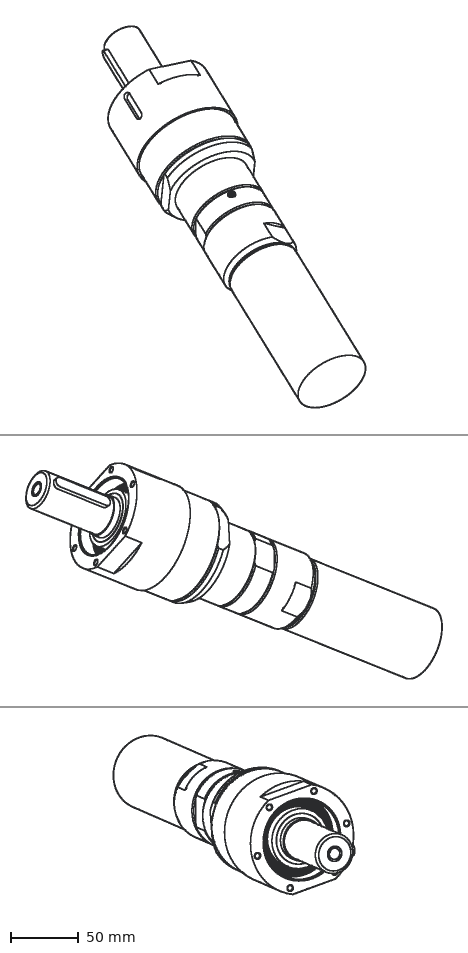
import cadquery as cq

LENGTH = 353.2

SHAFT_R = 30.0 / 2
SHAFT_END = 60.0
TIP_CHAMFER_LENGTH = 1.5
TIP_CHAMFER_DEPTH = 2.0
COLLAR_R = 16.0
CENTRE_HOLE_R = 8.5 / 2
CENTRE_HOLE_DEPTH = 17.5
CENTRE_SINK_R = 11.3 / 2
CENTRE_SINK_DEPTH = 0.5

KEY_START = 4.5
KEY_LENGTH = 50.0
KEY_WIDTH = 8.0
KEY_BOTTOM = SHAFT_R / 2
KEY_TOP = 18.0

BODY_R = 83.0 / 2
BODY_START = 61.8
BODY_END = 111.0
BODY_FLAT_DISTANCE = 37.5
BODY_FLAT_ANGLE = 75.0
BODY_FLAT_LENGTH = 15.2
SCREW_SINK_R = 5.0 / 2
SCREW_SINK_DEPTH = 0.5
SCREW_HOLE_R = 4.0 / 2
SCREW_HOLE_DEPTH = 10.5
SCREW_CIRCLE_R = 37.0
SCREW_COUNT = 6
SCREW_FIRST_ANGLE = 45.0
SLOT_START = BODY_START + 4.5
SLOT_LENGTH = 25.5
SLOT_WIDTH = 5.5
SLOT_DEPTH = 3.5
SLOT_ANGLE = 135.0

RECESS_MOUTH_R = 62.0 / 2
RECESS_MOUTH_DEPTH = 1.0
RECESS_BORE_R = 60.0 / 2
RECESS_FLOOR = BODY_START + 12.5
RECESS_GROOVES = ((23.5, 24.7), (25.8, 27.0), (28.0, 29.0))
RECESS_GROOVE_DEPTH = 1.0
HUB_R = 22.5
HUB_FACE = BODY_START + 3.5
HUB_STEP_R = 38.0 / 2
HUB_STEP = 0.5

REAR_BODY_R = 40.0
NUT_JOINT = 140.0
NUT_CONE_START = 145.0
NUT_END = 151.5
NUT_END_R = 36.7
NUT_FLAT_DISTANCE = 35.0
NUT_FLAT_ANGLE = 175.7

SLEEVE_R = 60.0 / 2
RING_START = 180.5
RING_END = 198.5
RING_FLAT_DISTANCE = 27.5
SLEEVE_CONE_START = 232.8
SLEEVE_END = 236.5
SLEEVE_END_R = 27.5
SLEEVE_FLAT_START = 218.5
SLEEVE_FLAT_DISTANCE = 27.5
SLEEVE_FLAT_ANGLE = 47.0

JOINT = 1.0

VENT_X = 185.0
VENT_STEPS = ((5.5 / 2, 1.5), (3.5 / 2, 3.0), (1.55 / 2, 5.5))

TUBE_R = 28.0
TUBE_START = 237.7
TUBE_CHAMFER = 1.0


def turned(points):
    """Revolve an (x, radius) outline about the X axis."""
    return cq.Workplane("XY").polyline(points).close().revolve(360, (0, 0, 0), (1, 0, 0))


def around_axis(shape, angle):
    """Turn a shape about X; angle runs from +Y toward +Z."""
    return shape.rotate((0, 0, 0), (1, 0, 0), angle)


def joint(x, radius):
    """Outline points of a V-shaped joint line."""
    return [(x - JOINT, radius), (x, radius - JOINT), (x + JOINT, radius)]


def recess_grooves():
    """Outline points of the concentric grooves in the recess floor."""
    bottom = RECESS_FLOOR + RECESS_GROOVE_DEPTH
    points = []
    for inner, outer in RECESS_GROOVES:
        points += [(RECESS_FLOOR, inner), (bottom, inner), (bottom, outer), (RECESS_FLOOR, outer)]
    return points


def turned_body():
    outline = [
        (0, 0),
        (0, SHAFT_R - TIP_CHAMFER_DEPTH),
        (TIP_CHAMFER_LENGTH, SHAFT_R),
        (SHAFT_END, SHAFT_R),
        (SHAFT_END, COLLAR_R),
        (HUB_FACE, COLLAR_R),
        (HUB_FACE, HUB_STEP_R),
        (HUB_FACE + HUB_STEP, HUB_STEP_R),
        (HUB_FACE + HUB_STEP, HUB_R),
        (RECESS_FLOOR, HUB_R),
        *recess_grooves(),
        (RECESS_FLOOR, RECESS_BORE_R),
        (BODY_START + RECESS_MOUTH_DEPTH, RECESS_BORE_R),
        (BODY_START + RECESS_MOUTH_DEPTH, RECESS_MOUTH_R),
        (BODY_START, RECESS_MOUTH_R),
        (BODY_START, BODY_R),
        (BODY_END, BODY_R),
        (BODY_END, REAR_BODY_R),
        *joint(NUT_JOINT, REAR_BODY_R),
        (NUT_CONE_START, REAR_BODY_R),
        (NUT_END, NUT_END_R),
        (NUT_END, SLEEVE_R),
        *joint(RING_START, SLEEVE_R),
        *joint(RING_END, SLEEVE_R),
        (SLEEVE_CONE_START, SLEEVE_R),
        (SLEEVE_END, SLEEVE_END_R),
        (SLEEVE_END, TUBE_R - TUBE_CHAMFER),
        (TUBE_START, TUBE_R - TUBE_CHAMFER),
        (TUBE_START + TUBE_CHAMFER, TUBE_R),
        (LENGTH, TUBE_R),
        (LENGTH, 0),
    ]
    return turned(outline)


def flat_cutters(start, end, distance, angle):
    """Two opposite blocks that leave flats at the given distance from the axis."""
    size = 2 * BODY_R
    block = cq.Workplane("XY").box(end - start, size, size, centered=(False, False, True))
    block = block.translate((start, distance, 0))
    return around_axis(block, angle).union(around_axis(block, angle + 180))


def rounded_bar(start, length, width, bottom, top, angle):
    """Round-ended bar along X that reaches radially from bottom to top."""
    bar = (
        cq.Workplane("XZ", origin=(start + length / 2, top, 0))
        .slot2D(length, width)
        .extrude(top - bottom)
    )
    return around_axis(bar, angle)


def screw_holes():
    hole = turned(
        [
            (0, 0),
            (0, SCREW_SINK_R),
            (SCREW_SINK_DEPTH, SCREW_HOLE_R),
            (SCREW_HOLE_DEPTH, SCREW_HOLE_R),
            (SCREW_HOLE_DEPTH + SCREW_HOLE_R, 0),
        ]
    ).translate((BODY_START, SCREW_CIRCLE_R, 0))
    holes = cq.Workplane("XY")
    for index in range(SCREW_COUNT):
        holes = holes.add(around_axis(hole, SCREW_FIRST_ANGLE + index * 360 / SCREW_COUNT))
    return holes.combine()


def centre_hole():
    return turned(
        [
            (0, 0),
            (0, CENTRE_SINK_R),
            (CENTRE_SINK_DEPTH, CENTRE_SINK_R),
            (CENTRE_SINK_DEPTH, CENTRE_HOLE_R),
            (CENTRE_HOLE_DEPTH, CENTRE_HOLE_R),
            (CENTRE_HOLE_DEPTH + CENTRE_HOLE_R, 0),
        ]
    )


def vent():
    """Stepped blind hole that narrows toward the axis."""
    plane = cq.Workplane("XY", origin=(VENT_X, 0, SLEEVE_R))
    hole = cq.Workplane("XY")
    for radius, depth in VENT_STEPS:
        hole = hole.union(plane.circle(radius).extrude(-depth))
    return hole


result = turned_body()
result = result.union(rounded_bar(KEY_START, KEY_LENGTH, KEY_WIDTH, KEY_BOTTOM, KEY_TOP, 180))
result = result.cut(centre_hole())
result = result.cut(screw_holes())
result = result.cut(
    rounded_bar(SLOT_START, SLOT_LENGTH, SLOT_WIDTH, BODY_R - SLOT_DEPTH, BODY_R + SLOT_DEPTH, SLOT_ANGLE)
)
result = result.cut(
    flat_cutters(BODY_START, BODY_START + BODY_FLAT_LENGTH, BODY_FLAT_DISTANCE, BODY_FLAT_ANGLE)
)
result = result.cut(flat_cutters(NUT_JOINT, NUT_END, NUT_FLAT_DISTANCE, NUT_FLAT_ANGLE))
result = result.cut(flat_cutters(RING_START, RING_END, RING_FLAT_DISTANCE, 0))
result = result.cut(
    flat_cutters(SLEEVE_FLAT_START, SLEEVE_END, SLEEVE_FLAT_DISTANCE, SLEEVE_FLAT_ANGLE)
)
result = result.cut(vent())